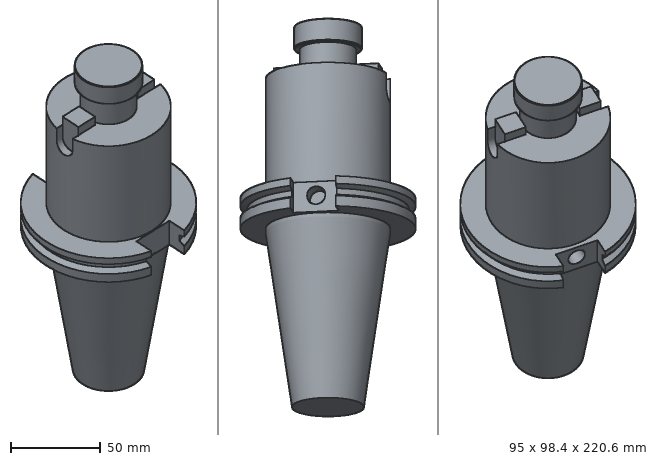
import cadquery as cq

taper_top = 101.3
flange_bottom = 103.5
groove_middle = 113.0
flange_top = 121.0
body_top = 190.6
pilot_top = 207.6
screw_top = 220.6

body_diameter = 70.0
body_radius = body_diameter / 2
taper_slope = 7 / 48
taper_end_radius = body_radius - taper_top * taper_slope
flange_radius = 49.2
pilot_radius = 15.9

groove_floor_radius = 45.5
groove_floor_width = 3.5
groove_mouth_width = 7.0
groove_floor_half = groove_floor_width / 2
groove_mouth_half = groove_mouth_width / 2

notch_width = 25.8
notch_floor_minus_x = 37.5
notch_floor_plus_x = 35.5

hole_diameter = 10.4
hole_depth = 10.4
hole_height = 113.0

key_width = 12.8
key_inner_y = 16.8
key_length = 13.0
key_bottom = 175.9
key_top = 196.5
slot_angles = (0, 180)

screw_diameter = 38.2
screw_bottom_chamfer = 0.7
screw_top_chamfer = 0.5


def round_bottom_prism(length, top):
    """Bar along -Y with a half-round bottom edge, starting at the inner key face."""
    half_width = key_width / 2
    arc_height = key_bottom + half_width
    return (
        cq.Workplane("XZ", origin=(0, -key_inner_y, 0))
        .moveTo(-half_width, top)
        .lineTo(-half_width, arc_height)
        .threePointArc((0, key_bottom), (half_width, arc_height))
        .lineTo(half_width, top)
        .close()
        .extrude(length)
    )


def turned_about_z(body, angle):
    return body.rotate((0, 0, 0), (0, 0, 1), angle)


def make_turned_blank():
    """Taper, collar, grooved flange, cylindrical body and pilot in one revolution."""
    profile = [
        (0, 0),
        (taper_end_radius, 0),
        (body_radius, taper_top),
        (body_radius, flange_bottom),
        (flange_radius, flange_bottom),
        (flange_radius, groove_middle - groove_mouth_half),
        (groove_floor_radius, groove_middle - groove_floor_half),
        (groove_floor_radius, groove_middle + groove_floor_half),
        (flange_radius, groove_middle + groove_mouth_half),
        (flange_radius, flange_top),
        (body_radius, flange_top),
        (body_radius, body_top),
        (pilot_radius, body_top),
        (pilot_radius, pilot_top),
        (0, pilot_top),
    ]
    return cq.Workplane("XZ").polyline(profile).close().revolve(360, (0, 0, 0), (0, 1, 0))


def make_notch(floor_distance):
    """Cutter for a drive notch on the +X side, open at the flange rim."""
    return cq.Workplane("XY", origin=(floor_distance, 0, flange_bottom)).box(
        flange_radius - floor_distance, notch_width, flange_top - flange_bottom, centered=(False, True, False)
    )


def make_holder():
    holder = make_turned_blank()

    holder = holder.cut(make_notch(notch_floor_plus_x))
    holder = holder.cut(turned_about_z(make_notch(notch_floor_minus_x), 180))

    hole = (
        cq.Workplane("YZ", origin=(-notch_floor_minus_x, 0, hole_height))
        .circle(hole_diameter / 2)
        .extrude(hole_depth)
    )
    holder = holder.cut(hole)

    slot = round_bottom_prism(body_radius - key_inner_y, body_top)
    for angle in slot_angles:
        holder = holder.cut(turned_about_z(slot, angle))
    return holder


def make_drive_key(angle):
    return turned_about_z(round_bottom_prism(key_length, key_top), angle)


def make_lock_screw():
    """Chamfered round head seated on the end of the pilot."""
    return (
        cq.Workplane("XY", origin=(0, 0, pilot_top))
        .circle(screw_diameter / 2)
        .extrude(screw_top - pilot_top)
        .faces("<Z")
        .chamfer(screw_bottom_chamfer)
        .faces(">Z")
        .chamfer(screw_top_chamfer)
    )


holder = make_holder()
lock_screw = make_lock_screw()
drive_keys = [make_drive_key(angle) for angle in slot_angles]

result = cq.Compound.makeCompound([holder.val(), lock_screw.val(), *[key.val() for key in drive_keys]])